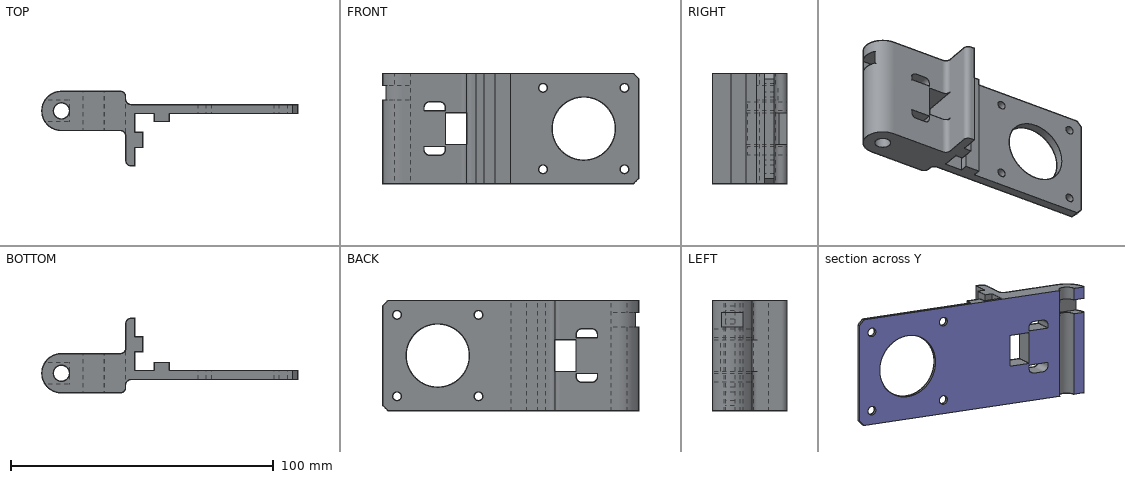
import cadquery as cq

length = 97.5
depth = 28.5
height = 42.0
mid_z = height / 2

barrel_dia = 15.0
barrel_radius = barrel_dia / 2
pin_hole_dia = 6.0
block_end_x = 32.0
edge_radius = 2.0

wall = 3.5
flange_inner_x = block_end_x + wall
plate_back_y = -5.1
plate_front_y = plate_back_y - wall
plate_corner_chamfer = 2.0

rib_width = 5.85
rib_height = 3.0
flange_rib_back_y = -15.6
plate_rib_x = 42.8

motor_x = 76.5
motor_bore_dia = 24.0
screw_hole_dia = 3.2
screw_spacing = 31.0

window_x = 24.0
window_height = 12.0

slot_x = 15.8
slot_width = 8.0
slot_outer_height = 20.3
slot_inner_height = 13.7
slot_corner_radius = 2.0

pocket_width = 8.2
pocket_height = 5.4
pocket_depth = 10.6
pocket_top_gap = 4.7


def box(x0, x1, y0, y1, z0, z1):
    """Box between opposite corner coordinates."""
    return cq.Workplane("XY").box(x1 - x0, y1 - y0, z1 - z0, centered=False).translate((x0, y0, z0))


def full_height_box(x0, x1, y0, y1):
    return box(x0, x1, y0, y1, 0, height)


def make_body():
    """Barrel block, flange and plate as one constant section with rounded corners."""
    profile = (
        cq.Workplane("XY")
        .moveTo(barrel_radius, 0)
        .lineTo(block_end_x, 0)
        .lineTo(block_end_x, plate_back_y)
        .lineTo(length, plate_back_y)
        .lineTo(length, plate_front_y)
        .lineTo(flange_inner_x, plate_front_y)
        .lineTo(flange_inner_x, -depth)
        .lineTo(block_end_x, -depth)
        .lineTo(block_end_x, -barrel_dia)
        .lineTo(barrel_radius, -barrel_dia)
        .threePointArc((0, -barrel_radius), (barrel_radius, 0))
        .close()
    )
    body = profile.extrude(height)
    for corner_y in (0, plate_back_y, -barrel_dia, -depth):
        corner = cq.selectors.NearestToPointSelector((block_end_x, corner_y, mid_z))
        body = body.edges("|Z").edges(corner).fillet(edge_radius)
    return body.edges("|Y").edges(">X").chamfer(plate_corner_chamfer)


def make_ribs():
    flange_rib = full_height_box(
        flange_inner_x, flange_inner_x + rib_height, flange_rib_back_y - rib_width, flange_rib_back_y
    )
    plate_rib = full_height_box(
        plate_rib_x, plate_rib_x + rib_width, plate_front_y - rib_height, plate_front_y
    )
    return flange_rib.union(plate_rib)


def make_motor_holes():
    plane = cq.Workplane("XZ").center(motor_x, mid_z)
    bore = plane.circle(motor_bore_dia / 2).extrude(depth)
    screws = plane.rect(screw_spacing, screw_spacing, forConstruction=True).vertices()
    return bore.union(screws.circle(screw_hole_dia / 2).extrude(depth))


def make_slots():
    """Rounded rectangle with its middle left solid, giving two D-shaped slots."""
    slot_end_x = slot_x + slot_width
    outer = box(
        slot_x, slot_end_x, -barrel_dia, 0, mid_z - slot_outer_height / 2, mid_z + slot_outer_height / 2
    )
    inner = box(
        slot_x, slot_end_x, -barrel_dia, 0, mid_z - slot_inner_height / 2, mid_z + slot_inner_height / 2
    )
    return outer.edges("|Y").fillet(slot_corner_radius).cut(inner)


def make_window():
    return box(
        window_x, block_end_x, -depth, 0, mid_z - window_height / 2, mid_z + window_height / 2
    )


def make_nose_pocket():
    top_z = height - pocket_top_gap
    return box(
        0,
        pocket_depth,
        -barrel_radius - pocket_width / 2,
        -barrel_radius + pocket_width / 2,
        top_z - pocket_height,
        top_z,
    )


pin_hole = cq.Workplane("XY").center(barrel_radius, -barrel_radius).circle(pin_hole_dia / 2).extrude(height)

result = (
    make_body()
    .union(make_ribs())
    .cut(make_motor_holes())
    .cut(make_slots())
    .cut(make_window())
    .cut(make_nose_pocket())
    .cut(pin_hole)
)